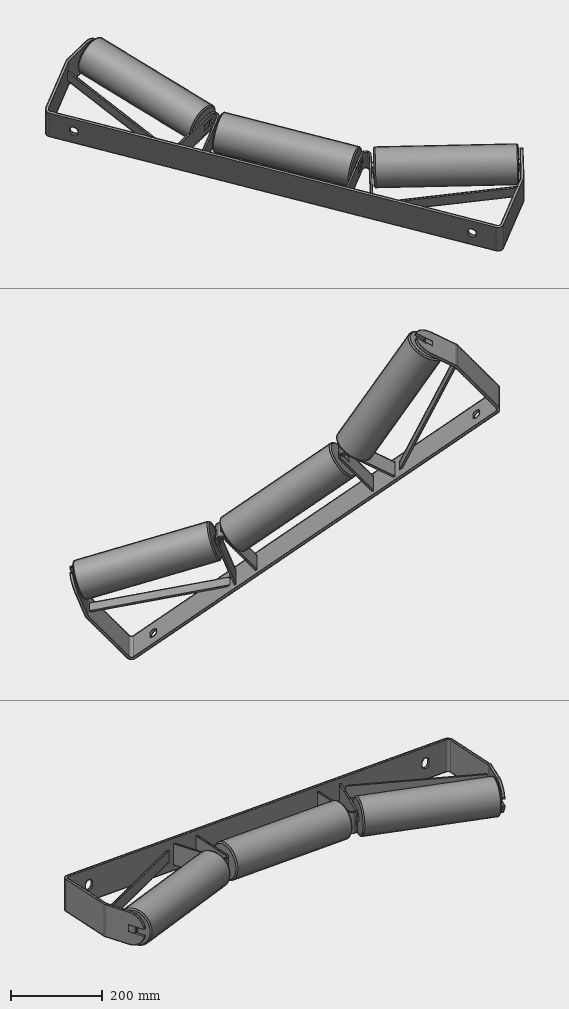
import cadquery as cq
import math

frame_length = 1050.0
plate = 6.0
plate_width = 80.0
corner_radius = 13.0

roller_diameter = 89.0
roller_length = 315.0
roller_chamfer = 3.0
shaft_radius = 10.0
shaft_square = 17.0
wing_gap = 4.0
saddle_gap = 5.0
trough_angle = 20.0
middle_height = 98.0
side_centre_x = 343.0
side_centre_y = 163.0

wing_rise = 32.0
wing_round_drop = 6.0

saddle_plate = 4.0
saddle_width = 52.0
saddle_top = 127.0
saddle_radius = 10.0

brace_width = 29.0
brace_thickness = 4.0
brace_foot_x = 239.0
brace_top_y = 148.0

mount_x = 457.0
mount_width = 19.0
mount_height = 26.0

tilt = math.radians(trough_angle)
roller_radius = roller_diameter / 2
half_roller = roller_length / 2
wing_seat = half_roller + wing_gap
saddle_seat = half_roller + saddle_gap
half_length = frame_length / 2
wall_inside = half_length - plate
inner_radius = corner_radius - plate


def tilt_left(shape):
    """Move a shape from roller coordinates to the left side roller."""
    tilted = shape.rotate((0, 0, 0), (0, 0, 1), -trough_angle)
    return tilted.translate((-side_centre_x, side_centre_y, 0))


def left_point(along, up):
    """XY point at a distance along and above the axis of the left side roller."""
    return (
        -side_centre_x + along * math.cos(tilt) + up * math.sin(tilt),
        side_centre_y - along * math.sin(tilt) + up * math.cos(tilt),
    )


def point_at_x(along, x):
    """Point with the given X on the line square to the left roller axis at a distance along it."""
    up = (x + side_centre_x - along * math.cos(tilt)) / math.sin(tilt)
    return left_point(along, up)


def point_at_y(along, y):
    """Point with the given Y on the line square to the left roller axis at a distance along it."""
    up = (y - side_centre_y + along * math.sin(tilt)) / math.cos(tilt)
    return left_point(along, up)


def extrude_outline(points, width):
    """Extrude an XY outline to a width centred on Z = 0."""
    return cq.Workplane("XY", origin=(0, 0, -width / 2)).polyline(points).close().extrude(width)


def round_bend(body, point, radius):
    """Round the edge along Z nearest to an XY point."""
    x, y = point
    return body.edges(cq.selectors.NearestToPointSelector((x, y, 0))).fillet(radius)


def shaft_slot(start, thickness):
    """Slot, open upward, for a shaft end in a plate that starts at a distance along the roller axis."""
    slot = cq.Workplane("XY").box(thickness, roller_diameter, shaft_square, centered=(False, False, True))
    return slot.translate((start, -shaft_square / 2, 0))


def make_roller(left_seat, left_plate, right_seat, right_plate):
    """Roller along X; round shaft up to each plate, square shaft through the plate."""
    roller = cq.Workplane("YZ", origin=(-half_roller, 0, 0)).circle(roller_radius).extrude(roller_length)
    roller = roller.faces("<X or >X").edges().chamfer(roller_chamfer)
    for side, seat, thickness in ((-1, left_seat, left_plate), (1, right_seat, right_plate)):
        journal = cq.Workplane("YZ").circle(shaft_radius).extrude(side * seat)
        square_end = cq.Workplane("YZ").rect(shaft_square, shaft_square).extrude(side * (seat + thickness))
        roller = roller.union(journal).union(square_end)
    return roller.clean()


def make_half_strip():
    """Left half of the main strip: base, upright wall and inclined wing."""
    outer_bend = point_at_x(-wing_seat - plate, -half_length)
    inner_bend = point_at_x(-wing_seat, -wall_inside)
    outer_corner = (-half_length, 0)
    inner_corner = (-wall_inside, plate)
    strip = extrude_outline([
        (0, 0),
        outer_corner,
        outer_bend,
        left_point(-wing_seat - plate, wing_rise),
        left_point(-wing_seat, wing_rise),
        inner_bend,
        inner_corner,
        (0, plate),
    ], plate_width)
    strip = round_bend(strip, outer_corner, corner_radius)
    strip = round_bend(strip, inner_corner, inner_radius)
    strip = round_bend(strip, outer_bend, corner_radius)
    strip = round_bend(strip, inner_bend, inner_radius)
    strip = strip.intersect(make_wing_blank())
    strip = strip.cut(tilt_left(shaft_slot(-wing_seat - plate, plate)))
    return strip.cut(make_mounting_slot())


def make_wing_blank():
    """Round-topped block along the left roller axis that gives the wing its rounded end."""
    dome = cq.Workplane("YZ").circle(plate_width / 2).extrude(frame_length, both=True)
    skirt = cq.Workplane("XY").box(2 * frame_length, frame_length, plate_width)
    skirt = skirt.translate((0, -frame_length / 2, 0))
    return tilt_left(dome.union(skirt).translate((0, -wing_round_drop, 0)))


def make_mounting_slot():
    slot = cq.Workplane("XZ").center(-mount_x, 0).slot2D(mount_height, mount_width, 90)
    return slot.extrude(-plate)


def make_saddle():
    """Left saddle: upright wall for the middle roller, inclined leg for the side roller."""
    wall = -saddle_seat
    leg = saddle_seat
    outer_bends = [(wall, saddle_top), point_at_y(leg, saddle_top)]
    saddle = extrude_outline(
        [(wall, plate), *outer_bends, point_at_y(leg, plate)],
        saddle_width,
    )
    hollow_wall = wall - saddle_plate
    hollow_leg = leg + saddle_plate
    hollow_top = saddle_top - saddle_plate
    inner_bends = [(hollow_wall, hollow_top), point_at_y(hollow_leg, hollow_top)]
    hollow = extrude_outline(
        [(hollow_wall, plate), *inner_bends, point_at_y(hollow_leg, plate)],
        saddle_width,
    )
    for bend in outer_bends:
        saddle = round_bend(saddle, bend, saddle_radius)
    for bend in inner_bends:
        hollow = round_bend(hollow, bend, saddle_radius - saddle_plate)
    middle_slot = shaft_slot(hollow_wall, saddle_plate).translate((0, middle_height, 0))
    side_slot = tilt_left(shaft_slot(leg, saddle_plate))
    return saddle.cut(hollow).cut(middle_slot).cut(side_slot)


def make_brace():
    """Flat strut from the base up to the left wall."""
    slope = math.atan2(brace_top_y - plate, wall_inside - brace_foot_x)
    drop = brace_thickness / math.cos(slope)
    run = brace_thickness / math.sin(slope)
    return extrude_outline([
        (-wall_inside, brace_top_y),
        (-brace_foot_x, plate),
        (-brace_foot_x - run, plate),
        (-wall_inside, brace_top_y - drop),
    ], brace_width)


def make_frame():
    """Welded frame: main strip with two saddles and two braces."""
    half = make_half_strip().union(make_saddle()).union(make_brace())
    return half.union(half.mirror("YZ"))


frame = make_frame()

middle_roller = make_roller(saddle_seat, saddle_plate, saddle_seat, saddle_plate)
middle_roller = middle_roller.translate((0, middle_height, 0))

left_roller = tilt_left(make_roller(wing_seat, plate, saddle_seat, saddle_plate))
side_rollers = []
for turn in (0, 180):
    side_rollers.append(left_roller.rotate((0, 0, 0), (0, 1, 0), turn))

result = cq.Compound.makeCompound(
    [frame.val(), middle_roller.val(), *[roller.val() for roller in side_rollers]]
)